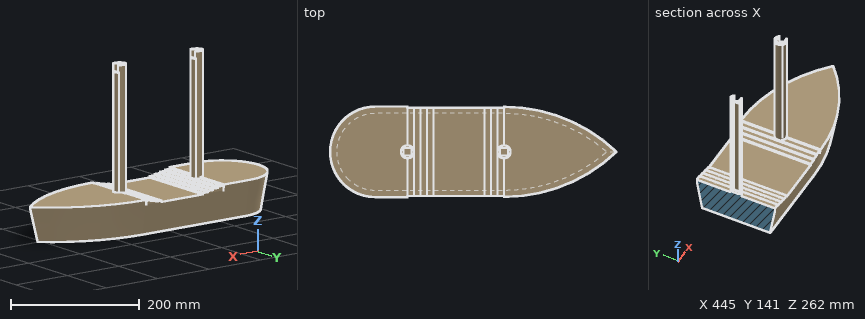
import cadquery as cq
import math

length = 445.0
beam = 141.0
total_height = 262.0

stern_height = 60.0
bow_height = 58.0
waist_height = 50.0

flare = math.tan(math.radians(10))
bottom_radius = beam / 2 - stern_height * flare
stern_x = beam / 2
waist_length = 200.0
bow_x = stern_x + waist_length
waist_half_width = bottom_radius + waist_height * flare

stair_count = 4
stair_run = 40.0
stair_tread = stair_run / stair_count
stair_riser = (bow_height - waist_height) / stair_count

mast_diameter = 20.0
stern_deck_end = stern_x + 50.0
socket_width = 12.0
notch_depth = 12.0


def flared_cone(x, y, radius, height):
    """Upright cone with the given bottom radius, widening upwards by the hull flare."""
    return cq.Workplane(
        cq.Solid.makeCone(radius, radius + height * flare, height, cq.Vector(x, y, 0))
    )


def straight_hull(start, end, height):
    """Parallel-sided hull length with flared sides."""
    top_half_width = bottom_radius + height * flare
    return (
        cq.Workplane("YZ", origin=(start, 0, 0))
        .moveTo(-bottom_radius, 0)
        .lineTo(bottom_radius, 0)
        .lineTo(top_half_width, height)
        .lineTo(-top_half_width, height)
        .close()
        .extrude(end - start)
    )


def bow():
    """Pointed bow, bounded by two cones that run tangent to the straight sides."""
    tip_reach = length - bow_x
    rim_half_width = bottom_radius + bow_height * flare
    rim_radius = (tip_reach**2 + rim_half_width**2) / (2 * rim_half_width)
    axis_offset = rim_radius - rim_half_width
    base_radius = rim_radius - bow_height * flare
    port_side = flared_cone(bow_x, -axis_offset, base_radius, bow_height)
    starboard_side = flared_cone(bow_x, axis_offset, base_radius, bow_height)
    forward = cq.Workplane().box(tip_reach, beam, bow_height, centered=(False, True, False))
    return port_side.intersect(starboard_side).intersect(forward.translate((bow_x, 0, 0)))


def stairs(deck_edge, direction, top_height, count):
    """Flight from a deck edge down to the waist; direction is +1 forward or -1 aft."""
    flight = None
    for step in range(count):
        reach = (step + 1) * stair_tread
        rise = top_height - step * stair_riser - waist_height
        tread = (
            cq.Workplane("XY", origin=(deck_edge + direction * reach / 2, 0, waist_height))
            .box(reach, 2 * waist_half_width, rise, centered=(True, True, False))
        )
        flight = tread if flight is None else flight.union(tread)
    return flight


def mast(x):
    """Round mast rising from inside the hull to the full height."""
    return (
        cq.Workplane("XY", origin=(x, 0, waist_height))
        .circle(mast_diameter / 2)
        .extrude(total_height - waist_height)
    )


def mast_hollow(x):
    """Square bore down to stern deck level, with a notch in the forward wall at the top."""
    bore = (
        cq.Workplane("XY", origin=(x, 0, stern_height))
        .rect(socket_width, socket_width)
        .extrude(total_height - stern_height)
    )
    notch = (
        cq.Workplane("XY", origin=(x, 0, total_height - notch_depth))
        .box(mast_diameter, socket_width, notch_depth, centered=(False, True, False))
    )
    return bore.union(notch)


hull = flared_cone(stern_x, 0, bottom_radius, stern_height)
hull = hull.intersect(
    cq.Workplane().box(stern_x, beam, stern_height, centered=(False, True, False))
)
hull = hull.union(straight_hull(stern_x, stern_deck_end, stern_height))
hull = hull.union(straight_hull(stern_deck_end, bow_x, waist_height))
hull = hull.union(bow())

hull = hull.union(stairs(stern_deck_end, 1, bow_height, stair_count))
hull = hull.union(stairs(bow_x, -1, bow_height - stair_riser, stair_count - 1))

for mast_x in (stern_deck_end, bow_x):
    hull = hull.union(mast(mast_x))
    hull = hull.cut(mast_hollow(mast_x))

result = hull